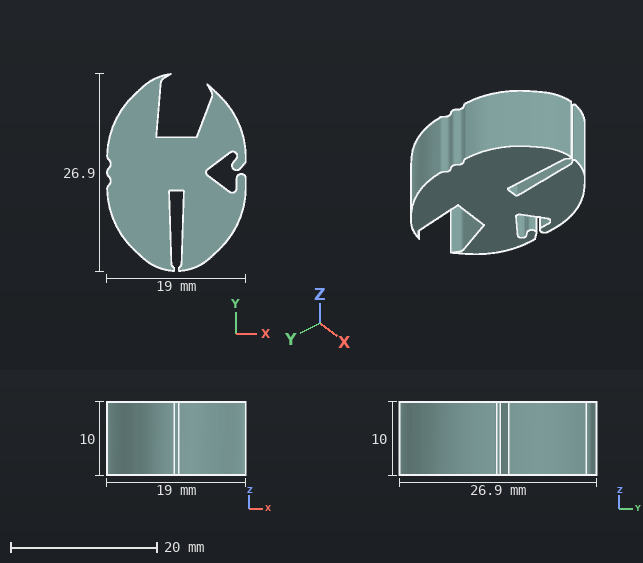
import cadquery as cq
import math

height = 10.0
half_width = 9.502
half_length = 13.5
side_radius = 11.8
side_centre_y = 2.0
flat_angle = 47.0

notch_floor_y = 4.83
notch_floor_half = 2.75
notch_corner_left = (-2.1, 12.65)
notch_corner_right = (4.97, 10.65)
notch_lip_left_angle = 31.0
notch_lip_right_angle = 119.0
notch_lip_reach = 3.0
notch_corner_radius = 1.0

slot_top_y = -2.48
slot_top_half = 1.0
slot_neck_y = -12.67
slot_neck_half = 0.67
slot_mouth_y = -13.1
slot_mouth_half = 0.28
slot_top_radius = 0.15
slot_neck_radius = 0.5
slot_lip_radius = 0.15

cavity_apex_x = 3.73
cavity_half_angle = 37.0
cavity_apex_radius = 0.5
cavity_corner_radius = 0.6
lip_radius = 0.65
straight_lip_y = -0.85
hook_centre = (8.23, 0.93)
hook_angle = 50.0

groove_pitch = 2.32
groove_depth = 0.5

outside = 1.0


def polar(origin, distance, angle):
    """Point at a distance and an angle in degrees from an origin."""
    turn = math.radians(angle)
    return (origin[0] + distance * math.cos(turn), origin[1] + distance * math.sin(turn))


def prism(points):
    """Straight-sided solid of the full part height."""
    return cq.Workplane("XY").polyline(points).close().extrude(height)


def round_corners(solid, corners, radius):
    """Fillet the upright edges that stand on the given corners."""
    reach = 0.01
    for x, y in corners:
        low = (x - reach, y - reach, -reach)
        high = (x + reach, y + reach, height + reach)
        solid = solid.edges("|Z").edges(cq.selectors.BoxSelector(low, high)).fillet(radius)
    return solid


def oval_body():
    side_centre = (half_width - side_radius, side_centre_y)
    normal_x = math.cos(math.radians(flat_angle))
    normal_y = math.sin(math.radians(flat_angle))
    flat_distance = side_radius + side_centre[0] * normal_x + side_centre[1] * normal_y
    end_radius = (flat_distance - half_length * normal_y) / (1 - normal_y)
    end_centre = (0, half_length - end_radius)

    side_mid = polar(side_centre, side_radius, flat_angle / 2)
    side_end = polar(side_centre, side_radius, flat_angle)
    end_start = polar(end_centre, end_radius, flat_angle)
    return (
        cq.Workplane("XY")
        .moveTo(half_width, -side_centre_y)
        .lineTo(half_width, side_centre_y)
        .threePointArc(side_mid, side_end)
        .lineTo(*end_start)
        .threePointArc((0, half_length), (-end_start[0], end_start[1]))
        .lineTo(-side_end[0], side_end[1])
        .threePointArc((-side_mid[0], side_mid[1]), (-half_width, side_centre_y))
        .lineTo(-half_width, -side_centre_y)
        .threePointArc((-side_mid[0], -side_mid[1]), (-side_end[0], -side_end[1]))
        .lineTo(-end_start[0], -end_start[1])
        .threePointArc((0, -half_length), (end_start[0], -end_start[1]))
        .lineTo(side_end[0], -side_end[1])
        .threePointArc((side_mid[0], -side_mid[1]), (half_width, -side_centre_y))
        .close()
        .extrude(height)
    )


def notch_cutter():
    cutter = prism([
        (-notch_floor_half, notch_floor_y),
        (notch_floor_half, notch_floor_y),
        notch_corner_right,
        polar(notch_corner_right, notch_lip_reach, notch_lip_right_angle),
        polar(notch_corner_left, notch_lip_reach, notch_lip_left_angle),
        notch_corner_left,
    ])
    return round_corners(cutter, [notch_corner_left, notch_corner_right], notch_corner_radius)


def slot_cutter():
    half_outline = [
        (slot_top_half, slot_top_y),
        (slot_neck_half, slot_neck_y),
        (slot_mouth_half, slot_mouth_y),
        (slot_mouth_half, -half_length - outside),
    ]
    mirrored = [(-x, y) for x, y in half_outline]
    cutter = prism(half_outline + mirrored[::-1])
    cutter = round_corners(cutter, [half_outline[0], mirrored[0]], slot_top_radius)
    return round_corners(cutter, [half_outline[1], mirrored[1]], slot_neck_radius)


def round_slot_lips(solid):
    """Fillet the two edges where the slot mouth meets the end of the oval."""
    low = (-slot_mouth_half - slot_lip_radius, -half_length, 0)
    high = (slot_mouth_half + slot_lip_radius, slot_mouth_y - slot_lip_radius, height)
    return solid.edges("|Z").edges(cq.selectors.BoxSelector(low, high)).fillet(slot_lip_radius)


def cavity_cutter():
    slope = math.tan(math.radians(cavity_half_angle))
    hook_slope = math.tan(math.radians(hook_angle))
    wall_x = half_width - 2 * lip_radius
    open_x = half_width + outside
    apex = (cavity_apex_x, 0)
    lower_corner = (wall_x, -(wall_x - cavity_apex_x) * slope)
    hook_outer = polar(hook_centre, lip_radius, hook_angle - 90)
    hook_inner = polar(hook_centre, lip_radius, hook_angle + 90)
    hook_exit = (open_x, hook_outer[1] + (open_x - hook_outer[0]) * hook_slope)
    upper_x = (hook_slope * hook_inner[0] - hook_inner[1] - slope * cavity_apex_x) / (hook_slope - slope)
    upper_corner = (upper_x, (upper_x - cavity_apex_x) * slope)
    cutter = prism([
        apex,
        lower_corner,
        (wall_x, straight_lip_y),
        (open_x, straight_lip_y),
        hook_exit,
        hook_outer,
        hook_inner,
        upper_corner,
    ])
    cutter = round_corners(cutter, [apex], cavity_apex_radius)
    return round_corners(cutter, [lower_corner, upper_corner], cavity_corner_radius)


def lip_tips():
    """Round ends of the two lips beside the cavity mouth."""
    centres = [hook_centre, (half_width - lip_radius, straight_lip_y)]
    return cq.Workplane("XY").pushPoints(centres).circle(lip_radius).extrude(height)


def groove_cutter(centre_y):
    half_pitch = groove_pitch / 2
    quarter_pitch = groove_pitch / 4
    half_depth = groove_depth / 2
    flank_x = -half_width + half_depth
    turn = 2 * math.atan(half_depth / quarter_pitch)
    radius = quarter_pitch / math.sin(turn)
    shoulder_x = -half_width + radius * (1 - math.cos(turn / 2))
    shoulder_y = half_pitch - radius * math.sin(turn / 2)
    return (
        cq.Workplane("XY")
        .moveTo(-half_width, centre_y + half_pitch)
        .threePointArc((shoulder_x, centre_y + shoulder_y), (flank_x, centre_y + quarter_pitch))
        .threePointArc((-half_width + groove_depth, centre_y), (flank_x, centre_y - quarter_pitch))
        .threePointArc((shoulder_x, centre_y - shoulder_y), (-half_width, centre_y - half_pitch))
        .close()
        .extrude(height)
    )


result = oval_body().cut(notch_cutter())
result = round_slot_lips(result.cut(slot_cutter()))
result = result.cut(cavity_cutter()).union(lip_tips())
for groove_y in (-groove_pitch / 2, groove_pitch / 2):
    result = result.cut(groove_cutter(groove_y), clean=False)